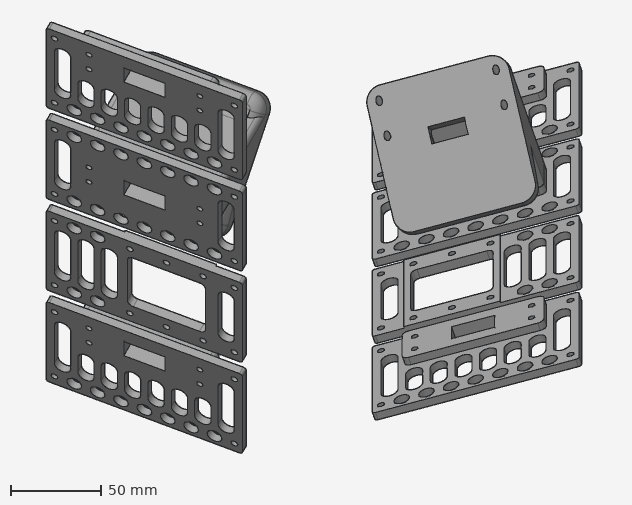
import cadquery as cq
import math

stack_height = 329.0
plate_width = 120.0
plate_height = 74.0
plate_thickness = 5.0
plate_corner_radius = 2.0
plate_count = 4
plate_pitch = (stack_height - plate_height) / (plate_count - 1)
vent_plate_levels = [0, plate_count - 1]
frame_plate_level = 1
holder_plate_level = 2

slot_width = 10.0
slot_length = 45.0
short_slot_length = 23.5
slot_count = 8
outer_slot_x = 50.0
slot_pitch = 2 * outer_slot_x / (slot_count - 1)
slot_columns = [-outer_slot_x + i * slot_pitch for i in range(slot_count)]
short_slot_z = (short_slot_length - slot_length) / 2
round_hole_diameter = 9.0
round_hole_columns = [x + slot_pitch / 2 for x in slot_columns[:-1]]
hole_row_z = 30.0
corner_hole_diameter = 4.0
corner_hole_x = 55.0

pad_width = 82.2
pad_height = 29.3
pad_thickness = 5.0
pad_corner_radius = 3.5
vent_pad_z = 20.0
window_width = 25.0
window_height = 13.0
screw_hole_diameter = 3.5
screw_x = 34.0
screw_spacing_z = 13.5
pad_back_y = plate_thickness + pad_thickness

opening_x = 13.5
opening_width = 47.7
opening_height = slot_length
opening_corner_radius = 3.5
frame_hole_pitch = 22.5
frame_hole_columns = [opening_x + i * frame_hole_pitch for i in (-1, 0, 1)]
frame_pad_width = 56.0
frame_pad_thickness = 1.0
frame_slot_columns = slot_columns[:3] + slot_columns[-1:]

holder_depth = 83.5
tip_z = 12.5
toe_y = 19.5
toe_z = -44.0
slab_thickness = 15.0
slab_corner_radius = 10.0
slab_edge_radius = 7.2
slab_length = math.hypot(holder_depth - toe_y, tip_z - toe_z)
slab_tilt = math.atan2(tip_z - toe_z, holder_depth - toe_y)
heel_neck_y = 24.5
blend_radius = 11.2
blend_width = 67.5
chute_width = 21.0
chute_depth = 10.0


def through_holes(x_places, z_places, diameter, length):
    """Cutters for round holes along +Y from y = 0, one at every crossing of the columns and rows."""
    points = [(x, z) for x in x_places for z in z_places]
    return cq.Workplane("XZ").pushPoints(points).circle(diameter / 2).extrude(-length)


def slots(x_places, z, length):
    """Cutters for upright slots through a plate."""
    points = [(x, z) for x in x_places]
    return cq.Workplane("XZ").pushPoints(points).slot2D(length, slot_width, 90).extrude(-plate_thickness)


def block(width, height, depth, x=0.0, z=0.0, y=0.0):
    """Box centred on (x, z) that runs along +Y from y."""
    return cq.Workplane("XZ", origin=(x, y, z)).rect(width, height).extrude(-depth)


def blank_plate():
    """Plate with rounded corners, one hole in each corner and an upright slot at both ends."""
    plate = block(plate_width, plate_height, plate_thickness).edges("|Y").fillet(plate_corner_radius)
    corner_columns = [-corner_hole_x, corner_hole_x]
    corner_rows = [-hole_row_z, hole_row_z]
    plate = plate.cut(through_holes(corner_columns, corner_rows, corner_hole_diameter, plate_thickness))
    return plate.cut(slots([-outer_slot_x, outer_slot_x], 0, slot_length))


def screw_holes(z, length):
    """Four screw holes around a pad centre at height z."""
    rows = [z - screw_spacing_z / 2, z + screw_spacing_z / 2]
    return through_holes([-screw_x, screw_x], rows, screw_hole_diameter, length)


def add_pad(plate, z):
    """Add the rear pad at height z and cut its window and screw holes through the plate."""
    pad = block(pad_width, pad_height, pad_thickness, z=z, y=plate_thickness)
    plate = plate.union(pad.edges("|Y").fillet(pad_corner_radius))
    plate = plate.cut(block(window_width, window_height, pad_back_y, z=z))
    return plate.cut(screw_holes(z, pad_back_y))


def make_vent_plate():
    """Plate with a pad near its top, short slots and one row of round holes."""
    plate = add_pad(blank_plate(), vent_pad_z)
    plate = plate.cut(slots(slot_columns[1:-1], short_slot_z, short_slot_length))
    return plate.cut(through_holes(round_hole_columns, [-hole_row_z], round_hole_diameter, plate_thickness))


def make_holder_plate():
    """Plate with a central pad and a row of round holes above and below it."""
    plate = add_pad(blank_plate(), 0)
    rows = [-hole_row_z, hole_row_z]
    return plate.cut(through_holes(round_hole_columns, rows, round_hole_diameter, plate_thickness))


def make_frame_plate():
    """Plate with a large opening, three more slots and a thin pad around the opening."""
    depth = plate_thickness + frame_pad_thickness
    rows = [-hole_row_z, hole_row_z]
    pad = block(frame_pad_width, plate_height, frame_pad_thickness, x=opening_x, y=plate_thickness)
    plate = blank_plate().union(pad)
    opening = block(opening_width, opening_height, depth, x=opening_x)
    plate = plate.cut(opening.edges("|Y").fillet(opening_corner_radius))
    plate = plate.cut(through_holes(frame_hole_columns, rows, corner_hole_diameter, depth))
    plate = plate.cut(through_holes(round_hole_columns[:2], rows, round_hole_diameter, plate_thickness))
    return plate.cut(slots(frame_slot_columns, 0, slot_length))


def slab_point(along, inward):
    """(y, z) of a point measured up the tilted face from its toe and inward from that face."""
    y = toe_y + along * math.cos(slab_tilt) - inward * math.sin(slab_tilt)
    z = toe_z + along * math.sin(slab_tilt) + inward * math.cos(slab_tilt)
    return (y, z)


def along_at_height(z, inward):
    """Distance up the tilted face at which a point this far inward reaches height z."""
    return (z - toe_z - inward * math.cos(slab_tilt)) / math.sin(slab_tilt)


def slab_plane(along):
    """Plane on the tilted face: local Y runs up the slope, the normal points into the slab."""
    y, z = slab_point(along, 0)
    normal = (0, -math.sin(slab_tilt), math.cos(slab_tilt))
    return cq.Plane(origin=(0, y, z), xDir=(1, 0, 0), normal=normal)


def tilted_prism(depth):
    """Rounded outline of the slab, extruded inward from the tilted face."""
    prism = cq.Workplane(slab_plane(slab_length / 2)).rect(pad_width, slab_length).extrude(depth)
    return prism.edges(cq.selectors.ParallelDirSelector(slab_plane(0).zDir)).fillet(slab_corner_radius)


def make_slab():
    """Slab with a flat tilted face and rounded edges on the opposite face."""
    inner_face = cq.selectors.DirectionMinMaxSelector(slab_plane(0).zDir)
    return tilted_prism(slab_thickness).faces(inner_face).edges().fillet(slab_edge_radius)


def make_neck():
    """Neck with the pad's outline, trimmed by the slab's outline."""
    neck = block(pad_width, pad_height, holder_depth - pad_back_y, y=pad_back_y)
    neck = neck.edges("|Y").fillet(pad_corner_radius)
    return neck.intersect(tilted_prism(holder_depth))


def make_heel():
    """Wedge under the neck that joins it to the lower half of the slab, with rounded sides."""
    foot_y, foot_z = slab_point(slab_corner_radius, slab_thickness)
    slope = (heel_neck_y - foot_y) / (-pad_height / 2 - foot_z)
    points = [
        slab_point(slab_corner_radius, 0),
        (foot_y, foot_z),
        (foot_y - slope * foot_z, 0),
        slab_point(along_at_height(0, 0), 0),
    ]
    front_slope = cq.Vector(0, slope, 1)
    heel = cq.Workplane("YZ").polyline(points).close().extrude(pad_width / 2, both=True)
    return heel.edges(cq.selectors.ParallelDirSelector(front_slope)).fillet(slab_edge_radius)


def make_blend():
    """Concave round between the slab's inner face and the top of the neck."""
    top = pad_height / 2
    along = along_at_height(top, slab_thickness)
    corner_y, _ = slab_point(along, slab_thickness)
    reach = blend_radius * math.tan(slab_tilt / 2)
    upper = slab_point(along + reach, slab_thickness)
    start_y = corner_y - reach
    half = slab_tilt / 2
    middle_y = start_y + blend_radius * math.sin(half)
    middle_z = top + blend_radius * (1 - math.cos(half))
    blend = cq.Workplane("YZ").moveTo(start_y, top).threePointArc((middle_y, middle_z), upper)
    blend = blend.lineTo(corner_y, top - pad_corner_radius).lineTo(start_y, top - pad_corner_radius)
    return blend.close().extrude(blend_width / 2, both=True)


def cut_cable_path(holder):
    """Straight passage behind the window, then a narrower chute out through the tilted face."""
    end_along = along_at_height(0, chute_depth)
    end_y, _ = slab_point(end_along, chute_depth)
    passage = block(window_width, window_height, end_y - pad_back_y, y=pad_back_y)
    chute_length = window_height / 2 / math.sin(slab_tilt)
    chute = cq.Workplane(slab_plane(end_along - chute_length / 2)).rect(chute_width, chute_length)
    return holder.cut(passage).cut(chute.extrude(chute_depth))


def make_holder():
    """Holder that seats on the pad of its plate, with the screw holes passing through."""
    holder = make_slab().union(make_neck()).union(make_heel()).union(make_blend())
    return cut_cable_path(holder).cut(screw_holes(0, holder_depth))


def at_level(body, level):
    """Lift a body to its place in the stack, counted from the lowest plate."""
    return body.translate((0, 0, level * plate_pitch))


vent_plates = [at_level(make_vent_plate(), level) for level in vent_plate_levels]
frame_plate = at_level(make_frame_plate(), frame_plate_level)
holder_plate = at_level(make_holder_plate(), holder_plate_level)
holder = at_level(make_holder(), holder_plate_level)

result = cq.Compound.makeCompound(
    [*[plate.val() for plate in vent_plates], frame_plate.val(), holder_plate.val(), holder.val()]
)